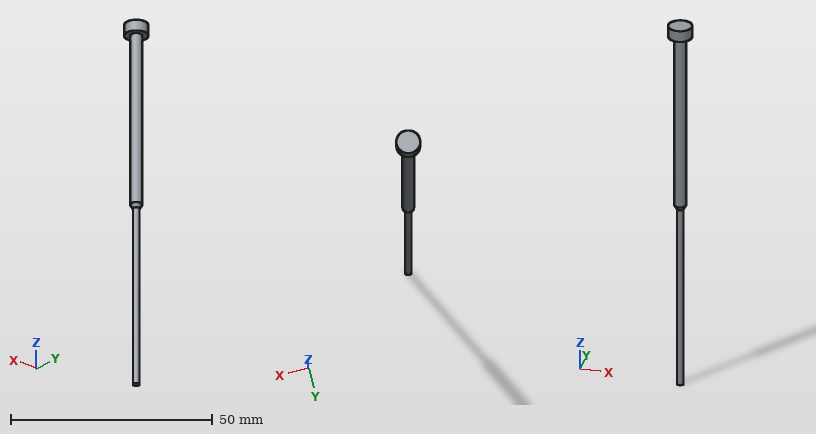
import cadquery as cq
import math

total_length = 100.0
head_diameter = 6.0
head_height = 3.0
shank_diameter = 3.0
shoulder_height = 50.0
taper_angle = 30.0
tip_diameter = 1.7

head_radius = head_diameter / 2
shank_radius = shank_diameter / 2
tip_radius = tip_diameter / 2
head_base = total_length - head_height
taper_length = (shank_radius - tip_radius) / math.tan(math.radians(taper_angle))

profile = (
    cq.Workplane("XZ")
    .moveTo(0, 0)
    .lineTo(tip_radius, 0)
    .lineTo(tip_radius, shoulder_height - taper_length)
    .lineTo(shank_radius, shoulder_height)
    .lineTo(shank_radius, head_base)
    .lineTo(head_radius, head_base)
    .lineTo(head_radius, total_length)
    .lineTo(0, total_length)
    .close()
)

result = profile.revolve(360, (0, 0, 0), (0, 1, 0))